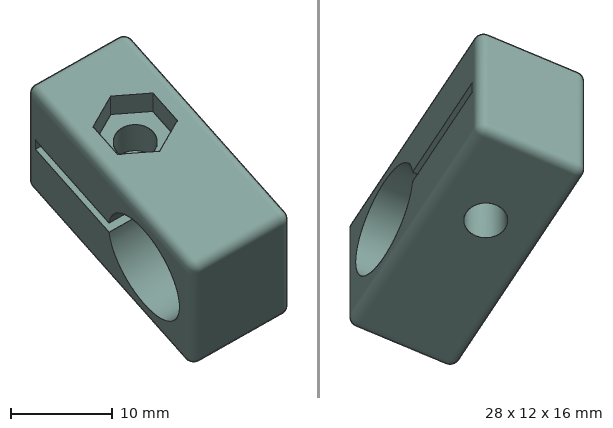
import cadquery as cq
import math

length = 28.0
width = 12.0
height = 16.0
edge_radius = 1.0

bore_diameter = 12.0
bore_from_right_end = 8.0
bore_x = length / 2 - bore_from_right_end

slot_height = 1.5
slot_end_wall = 1.5

screw_from_left_end = 10.0
screw_x = -length / 2 + screw_from_left_end
screw_diameter = 4.3
nut_sides = 6
nut_across_flats = 7.2
nut_depth = 3.0


def rounded_block():
    return cq.Workplane("XY").box(length, width, height).edges().fillet(edge_radius)


def bore():
    return (
        cq.Workplane("XZ")
        .center(bore_x, 0)
        .circle(bore_diameter / 2)
        .extrude(width / 2, both=True)
    )


def clamping_slot():
    slot_start = -length / 2 + slot_end_wall
    slot_length = bore_x - slot_start
    return (
        cq.Workplane("XY")
        .box(slot_length, width, slot_height)
        .translate((slot_start + slot_length / 2, 0, 0))
    )


def screw_hole():
    return (
        cq.Workplane("XY")
        .center(screw_x, 0)
        .circle(screw_diameter / 2)
        .extrude(height / 2, both=True)
    )


def nut_pocket():
    corner_half_angle = math.pi / nut_sides
    across_corners = nut_across_flats / math.cos(corner_half_angle)
    return (
        cq.Workplane("XY", origin=(screw_x, 0, height / 2))
        .polygon(nut_sides, across_corners)
        .extrude(-nut_depth)
    )


result = (
    rounded_block()
    .cut(bore())
    .cut(clamping_slot())
    .cut(screw_hole())
    .cut(nut_pocket())
)